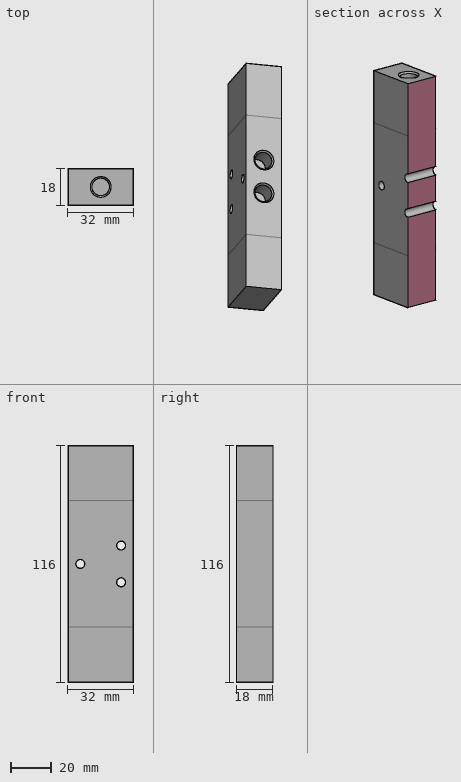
import cadquery as cq

width = 32.0
depth = 18.0
cap_height = 27.0
body_height = 62.0
overall_height = body_height + 2 * cap_height

port_diameter = 8.566
port_mouth_diameter = 10.2
port_depth = 12.0
port_chamfer = (port_mouth_diameter - port_diameter) / 2
side_port_spacing = 17.0

mount_diameter = 4.25
mount_offset_x = 10.0
mount_pair_spacing = 18.0


def block(height, base_z):
    """Rectangular block centred on the Z axis, standing on base_z."""
    return cq.Workplane("XY").workplane(offset=base_z).rect(width, depth).extrude(height)


def port_cutter(mouth, inward):
    """Blind bore plus chamfer cone, starting at mouth and running along inward."""
    start = cq.Vector(*mouth)
    direction = cq.Vector(*inward)
    bore = cq.Solid.makeCylinder(port_diameter / 2, port_depth, start, direction)
    lead_in = cq.Solid.makeCone(
        port_mouth_diameter / 2, port_diameter / 2, port_chamfer, start, direction
    )
    return bore.fuse(lead_in)


def mount_cutter(x, z):
    """Cylinder through the full depth of the body."""
    return cq.Solid.makeCylinder(
        mount_diameter / 2, depth, cq.Vector(x, -depth / 2, z), cq.Vector(0, 1, 0)
    )


result = (
    block(body_height, -body_height / 2)
    .union(block(cap_height, body_height / 2), clean=False)
    .union(block(cap_height, -overall_height / 2), clean=False)
)

result = result.cut(port_cutter((0, 0, overall_height / 2), (0, 0, -1)), clean=False)

for side in (-1, 1):
    port_z = side * side_port_spacing / 2
    result = result.cut(port_cutter((-width / 2, 0, port_z), (1, 0, 0)), clean=False)

mount_positions = [
    (-mount_offset_x, 0),
    (mount_offset_x, mount_pair_spacing / 2),
    (mount_offset_x, -mount_pair_spacing / 2),
]
for x, z in mount_positions:
    result = result.cut(mount_cutter(x, z), clean=False)